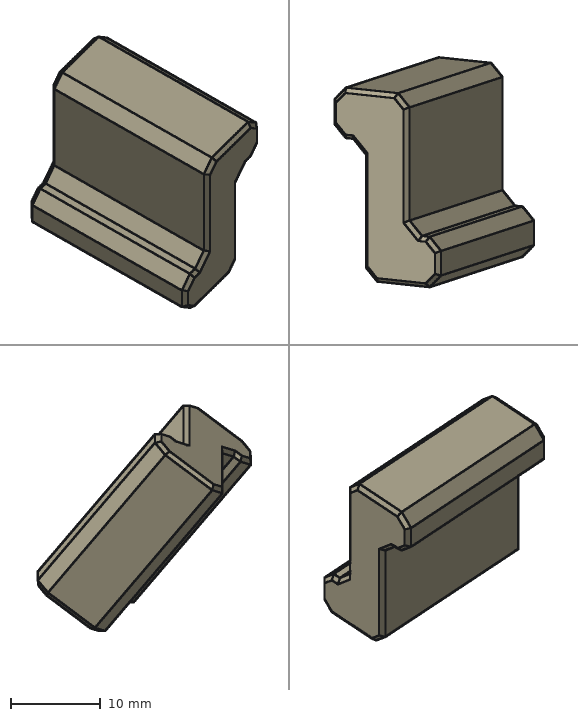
import cadquery as cq

length = 22.0
depth = 13.7
height = 21.7
lug_reach = 4.05
lug_height = 5.75
corner_chamfer = 1.47
web_flare = 1.6
end_chamfer = 0.5

half_depth = depth / 2
half_height = height / 2
web_face = half_depth - lug_reach
lug_underside = half_height - lug_height

half_profile = [
    (-web_face, half_height - corner_chamfer),
    (-web_face + corner_chamfer, half_height),
    (half_depth - corner_chamfer, half_height),
    (half_depth, half_height - corner_chamfer),
    (half_depth, lug_underside + corner_chamfer),
    (half_depth - corner_chamfer, lug_underside),
    (web_face + web_flare, lug_underside),
    (web_face, lug_underside - web_flare),
]

opposite_half = [(-y, -z) for y, z in half_profile]

body = (
    cq.Workplane("YZ")
    .polyline(half_profile + opposite_half)
    .close()
    .extrude(length / 2, both=True)
)

result = body.faces("<X or >X").chamfer(end_chamfer)